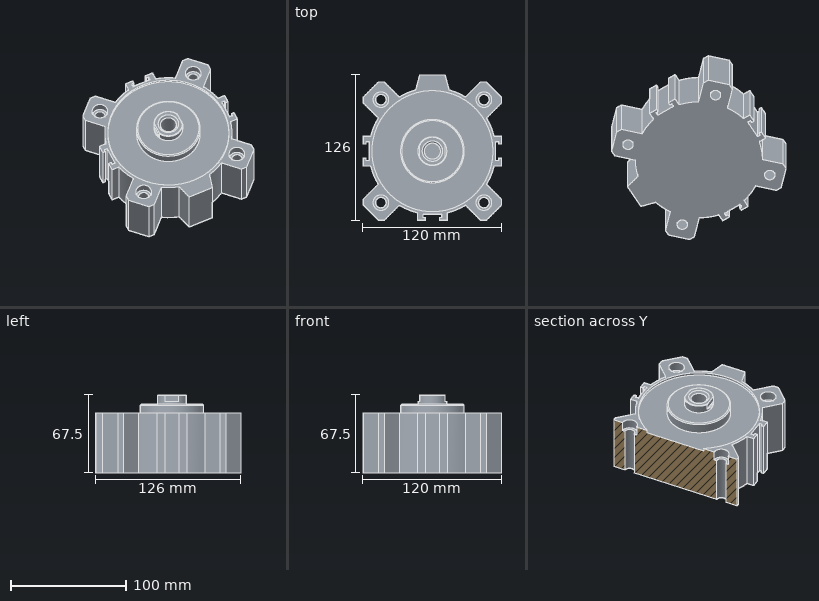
import cadquery as cq
import math

square_side = 120.0
housing_height = 52.2
total_height = 67.5
shell_diameter = 110.1

arm_width = 25.8
arm_reach = 75.5
corner_hole_offset = 44.6
screw_diameter = 9.0
counterbore_diameter = 13.5
counterbore_depth = 8.8

rail_width = 26.0
slot_opening = 12.0
slot_width = 16.0
slot_depth = 5.2
slot_lip = 2.5

block_reach = 66.0
block_tip_width = 22.2
block_flank_angle = 15.0

recess_diameter = 105.0
recess_depth = 2.5
boss_diameter = 55.0
boss_top = 59.7
boss_chamfer = 1.0

rod_diameter = 25.0
rod_chamfer = 0.4
rod_insertion = 35.3
rod_bottom = boss_top - rod_insertion
flat_spacing = 22.0
flat_height = 5.4
rod_hole_diameter = 13.9
rod_hole_mouth_diameter = 17.6
rod_hole_depth = 25.2


def corner_arms():
    """Two diagonal bars, trimmed to the square envelope, forming four arms."""
    envelope = cq.Workplane("XY").rect(square_side, square_side).extrude(housing_height)
    bar = cq.Workplane("XY").rect(2 * arm_reach, arm_width).extrude(housing_height)
    bars = bar.rotate((0, 0, 0), (0, 0, 1), 45).union(bar.rotate((0, 0, 0), (0, 0, 1), -45))
    return bars.intersect(envelope)


def slot_rail(angle):
    """Solid rail from the axis out to the square envelope, in the given direction."""
    rail = (
        cq.Workplane("XY")
        .center(square_side / 4, 0)
        .rect(square_side / 2, rail_width)
        .extrude(housing_height)
    )
    return rail.rotate((0, 0, 0), (0, 0, 1), angle)


def t_slot(angle):
    """T-shaped groove along the full height of a rail."""
    face = square_side / 2
    opening = (
        cq.Workplane("XY")
        .center(face - slot_depth / 2, 0)
        .rect(slot_depth, slot_opening)
        .extrude(housing_height)
    )
    undercut_depth = slot_depth - slot_lip
    undercut = (
        cq.Workplane("XY")
        .center(face - slot_depth + undercut_depth / 2, 0)
        .rect(undercut_depth, slot_width)
        .extrude(housing_height)
    )
    return opening.union(undercut).rotate((0, 0, 0), (0, 0, 1), angle)


def tapered_block():
    """Block on the +Y side that narrows outward; its root is buried in the shell."""
    root = recess_diameter / 2
    half_tip = block_tip_width / 2
    half_root = half_tip + (block_reach - root) * math.tan(math.radians(block_flank_angle))
    outline = [
        (-half_root, root),
        (half_root, root),
        (half_tip, block_reach),
        (-half_tip, block_reach),
    ]
    return cq.Workplane("XY").polyline(outline).close().extrude(housing_height)


def corner_holes(diameter, depth):
    """Four cylinders, one per arm, sunk from the top face of the housing."""
    return (
        cq.Workplane("XY")
        .workplane(offset=housing_height)
        .rect(2 * corner_hole_offset, 2 * corner_hole_offset, forConstruction=True)
        .vertices()
        .circle(diameter / 2)
        .extrude(-depth)
    )


def make_housing():
    """Housing with arms, rails, block, recessed boss and a blind bore for the rod."""
    body = cq.Workplane("XY").circle(shell_diameter / 2).extrude(housing_height)
    body = body.union(corner_arms()).union(tapered_block())
    rail_angles = (0, 180, 270)
    for angle in rail_angles:
        body = body.union(slot_rail(angle))
    for angle in rail_angles:
        body = body.cut(t_slot(angle))

    recess_floor = housing_height - recess_depth
    recess = (
        cq.Workplane("XY")
        .workplane(offset=recess_floor)
        .circle(recess_diameter / 2)
        .extrude(recess_depth)
    )
    boss = (
        cq.Workplane("XY")
        .workplane(offset=recess_floor)
        .circle(boss_diameter / 2)
        .extrude(boss_top - recess_floor)
        .faces(">Z")
        .chamfer(boss_chamfer)
    )
    body = body.cut(recess).union(boss)

    screw_holes = corner_holes(screw_diameter, housing_height)
    counterbores = corner_holes(counterbore_diameter, counterbore_depth)
    rod_bore = (
        cq.Workplane("XY")
        .workplane(offset=rod_bottom)
        .circle(rod_diameter / 2)
        .extrude(boss_top - rod_bottom)
    )
    return body.cut(screw_holes).cut(counterbores).cut(rod_bore)


def make_rod():
    """Rod seated in the housing bore, with wrench flats and a blind axial hole."""
    rod = (
        cq.Workplane("XY")
        .workplane(offset=rod_bottom)
        .circle(rod_diameter / 2)
        .extrude(total_height - rod_bottom)
        .faces(">Z")
        .chamfer(rod_chamfer)
    )
    cut_width = (rod_diameter - flat_spacing) / 2
    for side in (-1, 1):
        flat = cq.Workplane("XY").box(cut_width, rod_diameter, flat_height)
        centre_x = side * (flat_spacing + cut_width) / 2
        rod = rod.cut(flat.translate((centre_x, 0, total_height - flat_height / 2)))

    mouth_chamfer = (rod_hole_mouth_diameter - rod_hole_diameter) / 2
    hole_profile = [
        (0, total_height),
        (rod_hole_mouth_diameter / 2, total_height),
        (rod_hole_diameter / 2, total_height - mouth_chamfer),
        (rod_hole_diameter / 2, total_height - rod_hole_depth),
        (0, total_height - rod_hole_depth),
    ]
    hole = cq.Workplane("XZ").polyline(hole_profile).close().revolve(360, (0, 0, 0), (0, 1, 0))
    return rod.cut(hole)


housing = make_housing()
rod = make_rod()
result = cq.Compound.makeCompound([housing.val(), rod.val()])